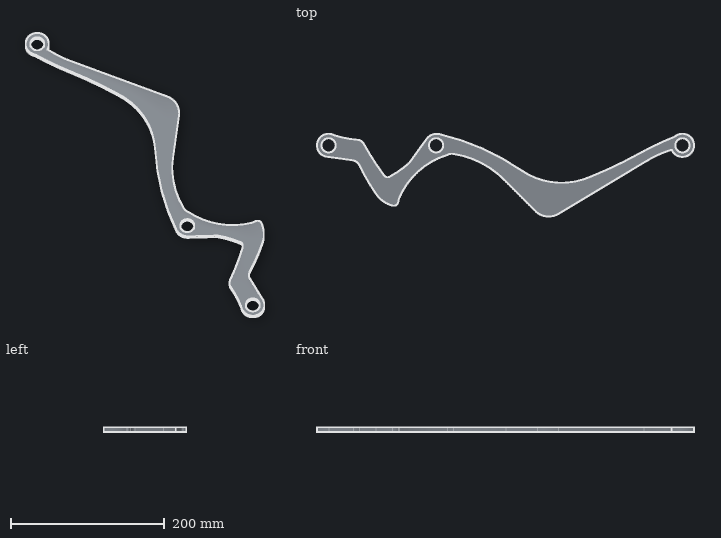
import cadquery as cq

length = 490.0
width = 108.0
thickness = 6.5
hole_diameter = 18.0
eye_radius = 15.0
eye_height = width - eye_radius
middle_hole_x = 155.0
hole_centers = [
    (eye_radius, eye_height),
    (middle_hole_x, eye_height),
    (length - eye_radius, eye_height),
]
end_eye_centers = [hole_centers[0], hole_centers[2]]


def lever_outline():
    """Closed outline of the arms, running along the top edge and back below."""
    return (
        cq.Workplane("XY")
        .moveTo(*hole_centers[0])
        .lineTo(18.0, 107.5)
        .threePointArc((31.5, 103.5), (53.0, 100.0))
        .threePointArc((57.5, 98.5), (61.0, 95.0))
        .threePointArc((73.0, 74.5), (87.0, 54.0))
        .threePointArc((90.5, 51.5), (95.0, 52.5))
        .threePointArc((108.0, 60.5), (120.0, 70.0))
        .lineTo(141.5, 100.0)
        .threePointArc((148.0, 106.0), (159.0, 107.5))
        .threePointArc((212.5, 89.5), (265.5, 60.5))
        .threePointArc((308.5, 44.5), (355.0, 52.0))
        .threePointArc((387.5, 66.0), (419.0, 82.5))
        .threePointArc((442.0, 94.0), (465.5, 104.5))
        .lineTo(*hole_centers[2])
        .lineTo(462.5, 87.5)
        .lineTo(459.0, 86.0)
        .threePointArc((441.5, 79.5), (425.0, 70.0))
        .lineTo(313.5, 3.5)
        .threePointArc((300.0, 0.0), (286.0, 5.0))
        .lineTo(245.0, 46.0)
        .threePointArc((213.5, 69.5), (177.5, 81.5))
        .threePointArc((173.0, 81.5), (169.0, 80.0))
        .threePointArc((132.0, 59.0), (107.0, 23.5))
        .lineTo(106.0, 19.0)
        .threePointArc((103.0, 14.5), (98.0, 14.0))
        .threePointArc((85.7, 20.0), (76.5, 30.0))
        .threePointArc((64.5, 48.5), (55.0, 67.0))
        .threePointArc((51.5, 71.0), (47.0, 73.0))
        .lineTo(eye_radius, eye_height - eye_radius)
        .close()
    )


arms = lever_outline().extrude(thickness)
end_eyes = (
    cq.Workplane("XY")
    .pushPoints(end_eye_centers)
    .circle(eye_radius)
    .extrude(thickness)
)
holes = (
    cq.Workplane("XY")
    .pushPoints(hole_centers)
    .circle(hole_diameter / 2)
    .extrude(thickness)
)

result = arms.union(end_eyes).cut(holes)